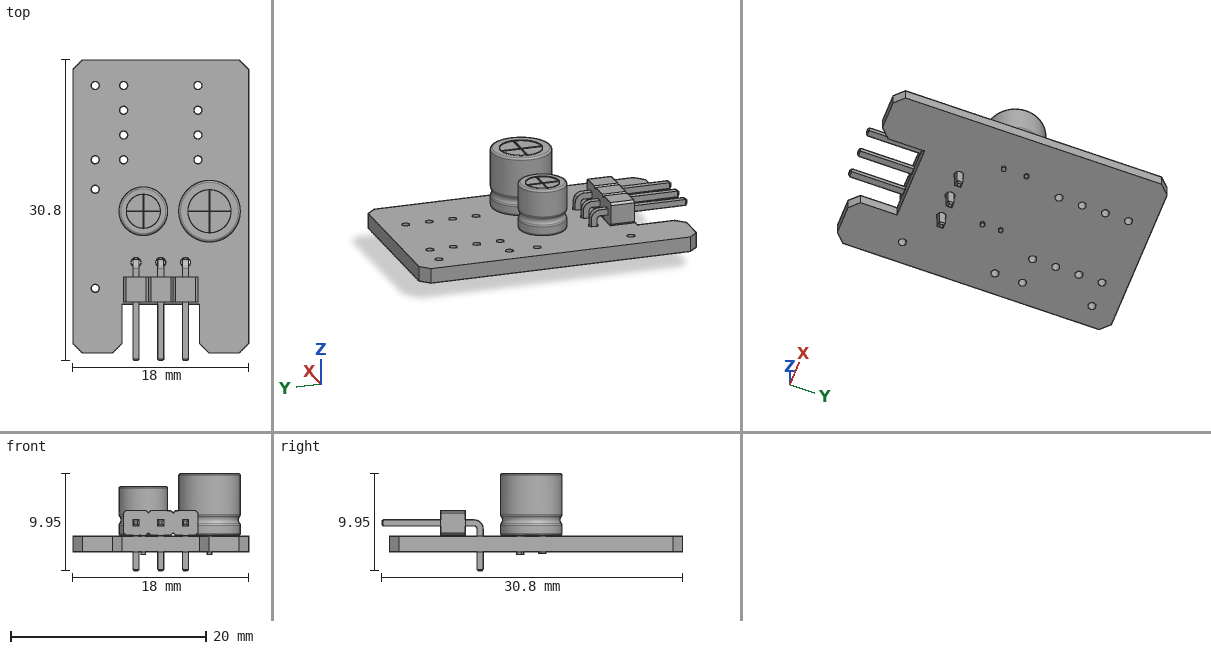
import cadquery as cq

BOARD_WIDTH = 18.0
BOARD_LENGTH = 30.02
BOARD_THICKNESS = 1.6
CORNER_CHAMFER = 1.0
SLOT_WIDTH = 7.9
SLOT_DEPTH = 5.0

HEADER_CELLS = 3
HEADER_WIDTH = 7.6
PITCH = HEADER_WIDTH / HEADER_CELLS
COMPONENT_HOLE_DIAMETER = 0.8
PIN_HOLE_DIAMETER = 1.0
MODULE_ROWS = 4
MODULE_TOP_ROW_Y = 12.38
MODULE_COLUMN_X = 1.5 * PITCH
SIDE_COLUMN_X = -6.7
UPPER_PAIR_SPAN = 3 * PITCH
LOWER_PAIR_TOP_Y = 1.75
LOWER_PAIR_SPAN = 4 * PITCH

STANDOFF = 0.1
MOUNT_Z = BOARD_THICKNESS + STANDOFF

PIN_ROW_Y = -5.73
PIN_SIZE = 0.65
PIN_FRONT_OVERHANG = 0.77
PIN_DROP = 1.95
PIN_BEND_INNER_RADIUS = 0.3
PIN_TIP_LENGTH = 0.12
PIN_TIP_INSET = 0.2
CELL_CHAMFER = 0.25
HEADER_FRONT_Y = -9.75
PIN_AXIS_Z = MOUNT_Z + PITCH / 2

CAPACITOR_Y = -0.5
SMALL_X, SMALL_DIAMETER, SMALL_HEIGHT, SMALL_LEAD_PITCH = -1.8, 5.0, 5.0, 2.0
LARGE_X, LARGE_DIAMETER, LARGE_HEIGHT, LARGE_LEAD_PITCH = 5.0, 6.3, 6.3, 2.5
RIM_FILLET = 0.2
BELT_BOTTOM = 1.15
BELT_TOP = 2.0
BELT_DEPTH = 0.2
BELT_FILLET = 0.3
DISC_DIAMETER_RATIO = 0.7
DISC_RECESS = 0.1
CROSS_GROOVE_WIDTH = 0.1
CROSS_GROOVE_DEPTH = 0.1
LEAD_DIAMETER = 0.5
FRONT_LEAD_DROP = 0.28
REAR_LEAD_DROP = 0.2

CAPACITORS = [
    (SMALL_X, SMALL_DIAMETER, SMALL_HEIGHT, SMALL_LEAD_PITCH),
    (LARGE_X, LARGE_DIAMETER, LARGE_HEIGHT, LARGE_LEAD_PITCH),
]
CELL_CENTRES_X = [(i - (HEADER_CELLS - 1) / 2) * PITCH for i in range(HEADER_CELLS)]


def through_holes(points, diameter):
    """Cutters for round holes through the whole board."""
    return cq.Workplane("XY").pushPoints(points).circle(diameter / 2).extrude(BOARD_THICKNESS)


def make_board():
    """Board with a slot in its front edge, chamfered corners and all its holes."""
    front_y = -BOARD_LENGTH / 2
    slot = (
        cq.Workplane("XY")
        .rect(SLOT_WIDTH, 2 * SLOT_DEPTH)
        .extrude(BOARD_THICKNESS)
        .translate((0, front_y, 0))
    )
    board = (
        cq.Workplane("XY")
        .rect(BOARD_WIDTH, BOARD_LENGTH)
        .extrude(BOARD_THICKNESS)
        .cut(slot)
    )
    for end in ("<Y", ">Y"):
        board = board.faces(end).edges("|Z").chamfer(CORNER_CHAMFER)

    component_points = [
        (x, MODULE_TOP_ROW_Y - row * PITCH)
        for x in (-MODULE_COLUMN_X, MODULE_COLUMN_X)
        for row in range(MODULE_ROWS)
    ]
    component_points += [
        (SIDE_COLUMN_X, MODULE_TOP_ROW_Y),
        (SIDE_COLUMN_X, MODULE_TOP_ROW_Y - UPPER_PAIR_SPAN),
        (SIDE_COLUMN_X, LOWER_PAIR_TOP_Y),
        (SIDE_COLUMN_X, LOWER_PAIR_TOP_Y - LOWER_PAIR_SPAN),
    ]
    pin_points = [(x, PIN_ROW_Y) for x in CELL_CENTRES_X]
    lead_points = [
        (x, CAPACITOR_Y + side * lead_pitch / 2)
        for x, _, _, lead_pitch in CAPACITORS
        for side in (-1, 1)
    ]
    board = board.cut(through_holes(component_points, COMPONENT_HOLE_DIAMETER))
    board = board.cut(through_holes(pin_points, PIN_HOLE_DIAMETER))
    return board.cut(through_holes(lead_points, LEAD_DIAMETER))


def make_pin(x):
    """Square pin that runs forward from the header and bends down through the board."""
    half = PIN_SIZE / 2
    front_y = -BOARD_LENGTH / 2 - PIN_FRONT_OVERHANG
    back_y = PIN_ROW_Y + half
    pin = (
        cq.Workplane("YZ")
        .moveTo(front_y, PIN_AXIS_Z + half)
        .lineTo(back_y, PIN_AXIS_Z + half)
        .lineTo(back_y, -PIN_DROP)
        .lineTo(back_y - PIN_SIZE, -PIN_DROP)
        .lineTo(back_y - PIN_SIZE, PIN_AXIS_Z - half)
        .lineTo(front_y, PIN_AXIS_Z - half)
        .close()
        .extrude(half, both=True)
    )
    outer_corner = cq.selectors.NearestToPointSelector((0, back_y, PIN_AXIS_Z + half))
    inner_corner = cq.selectors.NearestToPointSelector((0, back_y - PIN_SIZE, PIN_AXIS_Z - half))
    pin = pin.edges("|X").edges(outer_corner).fillet(PIN_BEND_INNER_RADIUS + PIN_SIZE)
    pin = pin.edges("|X").edges(inner_corner).fillet(PIN_BEND_INNER_RADIUS)
    for tip in ("<Y", "<Z"):
        pin = pin.faces(tip).chamfer(PIN_TIP_LENGTH, PIN_TIP_INSET)
    return pin.translate((x, 0, 0))


def make_header():
    """Row of chamfered insulator cells together with their pins, as one solid."""
    header = cq.Workplane("XY")
    for x in CELL_CENTRES_X:
        cell = (
            cq.Workplane("XY")
            .box(PITCH, PITCH, PITCH)
            .edges("|Y")
            .chamfer(CELL_CHAMFER)
            .translate((x, HEADER_FRONT_Y + PITCH / 2, PIN_AXIS_Z))
        )
        header = header.union(cell).union(make_pin(x))
    return header


def make_capacitor(x, diameter, height, lead_pitch):
    """Can with rounded rims, a rolled belt, a sunken top disc scored with a cross, and two leads below."""
    radius = diameter / 2
    can = (
        cq.Workplane("XZ")
        .lineTo(radius, 0)
        .lineTo(radius, BELT_BOTTOM)
        .threePointArc((radius - BELT_DEPTH, (BELT_BOTTOM + BELT_TOP) / 2), (radius, BELT_TOP))
        .lineTo(radius, height)
        .lineTo(0, height)
        .close()
        .revolve(360, (0, 0, 0), (0, 1, 0))
    )
    belt_box = cq.selectors.BoxSelector(
        (-diameter, -diameter, BELT_BOTTOM - BELT_DEPTH),
        (diameter, diameter, BELT_TOP + BELT_DEPTH),
    )
    can = can.edges("%CIRCLE").edges(belt_box).fillet(BELT_FILLET)
    can = can.faces("<Z or >Z").edges("%CIRCLE").fillet(RIM_FILLET)

    disc_diameter = DISC_DIAMETER_RATIO * diameter
    disc_z = height - DISC_RECESS
    capacitor = can.cut(
        cq.Workplane("XY", origin=(0, 0, disc_z)).circle(disc_diameter / 2).extrude(DISC_RECESS)
    )
    for groove_size in ((disc_diameter, CROSS_GROOVE_WIDTH), (CROSS_GROOVE_WIDTH, disc_diameter)):
        groove = cq.Workplane("XY", origin=(0, 0, disc_z)).rect(*groove_size).extrude(-CROSS_GROOVE_DEPTH)
        capacitor = capacitor.cut(groove)

    for side, drop in ((-1, FRONT_LEAD_DROP), (1, REAR_LEAD_DROP)):
        lead = (
            cq.Workplane("XY", origin=(0, side * lead_pitch / 2, 0))
            .circle(LEAD_DIAMETER / 2)
            .extrude(-(MOUNT_Z + drop))
        )
        capacitor = capacitor.union(lead)
    return capacitor.translate((x, CAPACITOR_Y, MOUNT_Z))


board = make_board()
header = make_header()
capacitors = [make_capacitor(*sizes) for sizes in CAPACITORS]
bodies = [board, header, *capacitors]
result = cq.Compound.makeCompound([body.solids().val() for body in bodies])